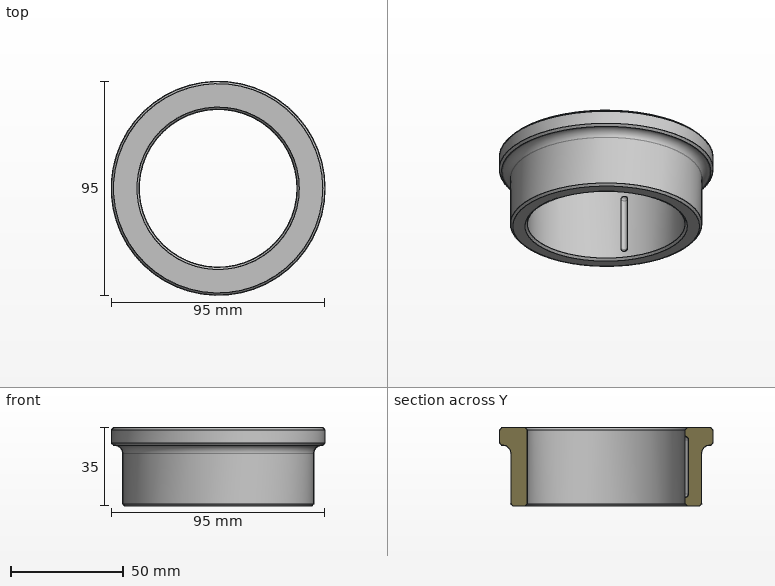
import cadquery as cq

flange_radius = 47.5
sleeve_radius = 85.0 / 2
bore_radius = 70.0 / 2
height = 35.0
flange_thickness = 8.0

chamfer = 1.0
neck_fillet = 3.5

groove_radius = 1.5
groove_length = 27.0
groove_center_z = height / 2


def flanged_sleeve():
    """Revolved sleeve with a top flange and chamfered rims."""
    flange_bottom = height - flange_thickness
    profile = (
        cq.Workplane("XZ")
        .moveTo(bore_radius + chamfer, 0)
        .lineTo(sleeve_radius - chamfer, 0)
        .lineTo(sleeve_radius, chamfer)
        .lineTo(sleeve_radius, flange_bottom - neck_fillet)
        .radiusArc((sleeve_radius + neck_fillet, flange_bottom), neck_fillet)
        .lineTo(flange_radius - chamfer, flange_bottom)
        .lineTo(flange_radius, flange_bottom + chamfer)
        .lineTo(flange_radius, height - chamfer)
        .lineTo(flange_radius - chamfer, height)
        .lineTo(bore_radius + chamfer, height)
        .lineTo(bore_radius, height - chamfer)
        .lineTo(bore_radius, chamfer)
        .close()
    )
    return profile.revolve(360, (0, 0, 0), (0, 1, 0))


def groove_cutter():
    """Vertical rod with ball ends, centered on the bore surface."""
    straight_length = groove_length - 2 * groove_radius
    rod = cq.Workplane("XY").circle(groove_radius).extrude(straight_length / 2, both=True)
    for end in (-1, 1):
        ball = cq.Workplane("XY").sphere(groove_radius)
        rod = rod.union(ball.translate((0, 0, end * straight_length / 2)))
    return rod.translate((bore_radius, 0, groove_center_z))


result = flanged_sleeve().cut(groove_cutter())